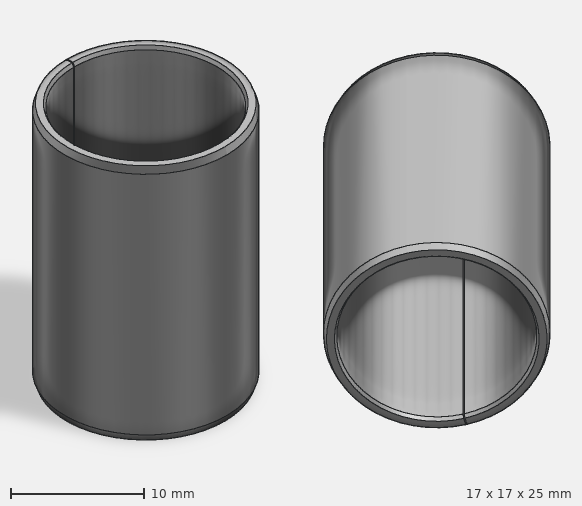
import cadquery as cq

height = 25.0
outer_diameter = 17.0
wall = 1.0
outer_radius = outer_diameter / 2
inner_radius = outer_radius - wall

outer_chamfer_depth = 0.22
outer_chamfer_height = 0.62
inner_chamfer_depth = 0.18
inner_chamfer_height = 0.32

seam_width = 0.1


def bush_wall():
    """Revolve the chamfered wall section about the Z axis."""
    rim_inner = inner_radius + inner_chamfer_depth
    rim_outer = outer_radius - outer_chamfer_depth
    section = [
        (rim_inner, 0),
        (rim_outer, 0),
        (outer_radius, outer_chamfer_height),
        (outer_radius, height - outer_chamfer_height),
        (rim_outer, height),
        (rim_inner, height),
        (inner_radius, height - inner_chamfer_height),
        (inner_radius, inner_chamfer_height),
    ]
    return cq.Workplane("XZ").polyline(section).close().revolve(360, (0, 0), (0, 1))


def seam_cutter():
    """Thin full-height slab that splits the wall on the -X side."""
    slab = cq.Workplane("XY").box(outer_radius, seam_width, height, centered=False)
    return slab.translate((-outer_radius, 0, 0))


result = bush_wall().cut(seam_cutter())